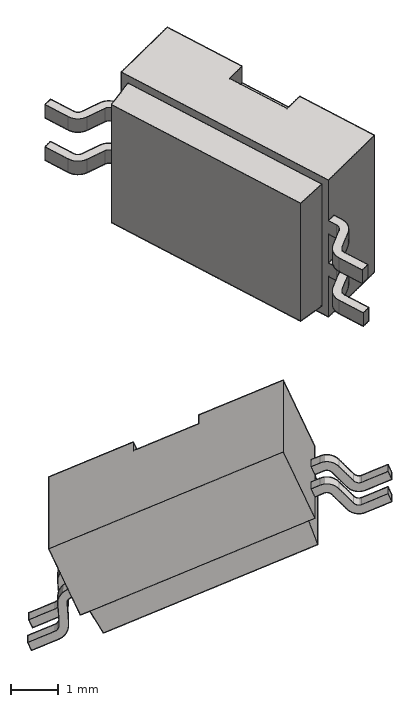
import cadquery as cq
import math

block_width = 5.4
block_depth = 1.64
block_height = 4.11

cap_depth = 0.67
cap_side_margin = 0.175
cap_end_margin = 0.22
cap_taper = 5.0

notch_width = 1.5
notch_depth = 0.45
notch_height = 0.5

lead_width = 0.41
lead_thickness = 0.2
lead_pitch = 1.27
lead_drop = 0.755
lead_reach = 1.44
long_lead_reach = 8.3 - block_width - lead_reach
lead_shoulder = 0.21
lead_bend_run = 0.62
lead_bend_radius = 0.25
lead_embed = 0.08


def make_block():
    block = cq.Workplane("XY").box(
        block_width, block_depth, block_height, centered=(True, False, True)
    )
    notch = cq.Workplane("XY").box(notch_width, notch_depth, notch_height).translate(
        (0, block_depth - notch_depth / 2, block_height / 2 - notch_height / 2)
    )
    return block.cut(notch)


def make_cap():
    cap_width = block_width - 2 * cap_side_margin
    cap_height = block_height - 2 * cap_end_margin
    return cq.Workplane("XZ").rect(cap_width, cap_height).extrude(cap_depth, taper=cap_taper)


def make_lead(reach, z):
    """Lead on the +X side, swept along its centreline."""
    root_x = block_width / 2
    root_y = lead_thickness / 2
    foot_y = root_y - lead_drop
    shoulder_x = root_x + lead_shoulder
    foot_x = shoulder_x + lead_bend_run

    center_drop = 2 * lead_bend_radius - lead_drop
    center_distance = math.hypot(lead_bend_run, center_drop)
    angle = math.asin(2 * lead_bend_radius / center_distance) - math.atan2(center_drop, lead_bend_run)
    bend_x = lead_bend_radius * math.sin(angle)
    bend_y = lead_bend_radius * (1 - math.cos(angle))

    path = (
        cq.Workplane("XY", origin=(0, 0, z))
        .moveTo(root_x - lead_embed, root_y)
        .lineTo(shoulder_x, root_y)
        .tangentArcPoint((shoulder_x + bend_x, root_y - bend_y), relative=False)
        .lineTo(foot_x - bend_x, foot_y + bend_y)
        .tangentArcPoint((foot_x, foot_y), relative=False)
        .lineTo(root_x + reach, foot_y)
    )
    section = cq.Workplane("YZ", origin=(root_x - lead_embed, root_y, z))
    return section.rect(lead_thickness, lead_width).sweep(path)


result = make_block().union(make_cap())
for z, right_reach in ((lead_pitch / 2, lead_reach), (-lead_pitch / 2, long_lead_reach)):
    result = result.union(make_lead(right_reach, z))
    result = result.union(make_lead(lead_reach, z).mirror("YZ"))